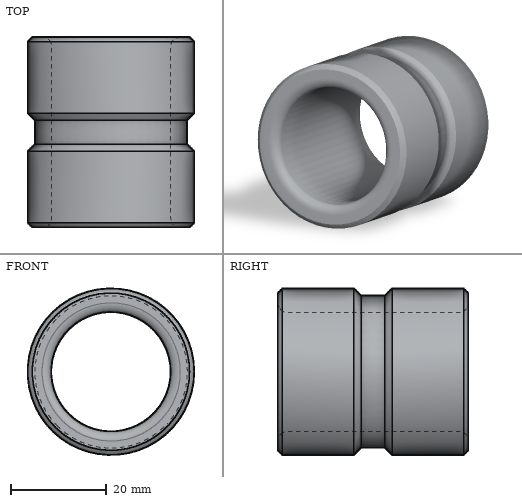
import cadquery as cq

length = 40.0
outer_diameter = 35.0
bore_diameter = 25.0
end_chamfer = 1.0
bore_mouth_fillet = 2.0

groove_floor_diameter = 32.0
groove_floor_width = 5.0
groove_depth = (outer_diameter - groove_floor_diameter) / 2
groove_mouth_width = groove_floor_width + 2 * groove_depth


def make_cylinder(diameter):
    """Full-length cylinder along Y."""
    return cq.Workplane("XZ").circle(diameter / 2).extrude(length / 2, both=True)


def make_sleeve():
    """Hollow cylinder with chamfered rims and rounded bore mouths."""
    body = make_cylinder(outer_diameter).faces("<Y or >Y").chamfer(end_chamfer)
    body = body.cut(make_cylinder(bore_diameter))
    mouths = body.faces("<Y or >Y").edges(cq.selectors.RadiusNthSelector(0))
    return mouths.fillet(bore_mouth_fillet)


def make_groove():
    """Ring of material removed around the middle of the sleeve."""
    floor_radius = groove_floor_diameter / 2
    mouth_radius = outer_diameter / 2
    return (
        cq.Workplane("XY")
        .moveTo(floor_radius, -groove_floor_width / 2)
        .lineTo(mouth_radius, -groove_mouth_width / 2)
        .lineTo(mouth_radius, groove_mouth_width / 2)
        .lineTo(floor_radius, groove_floor_width / 2)
        .close()
        .revolve(360, (0, 0, 0), (0, 1, 0))
    )


result = make_sleeve().cut(make_groove())